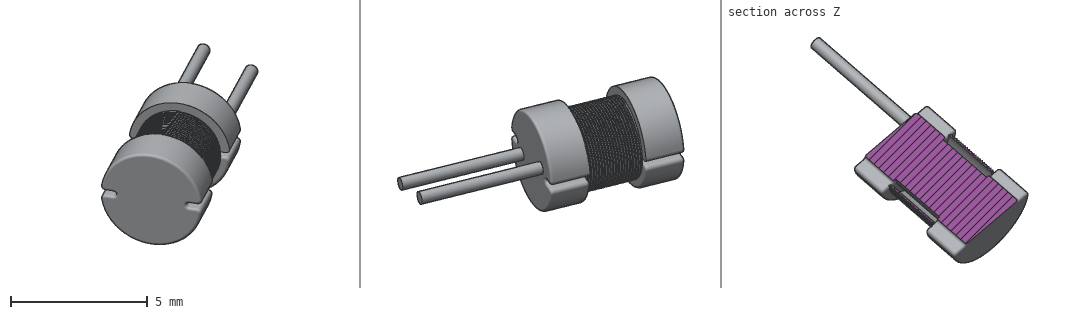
import cadquery as cq
import math

total_length = 10.09
flange_diameter = 3.84
flange_thickness = 1.53
core_radius = 1.21
edge_fillet = 0.1

notch_half_width = 0.11
notch_floor_radius = 1.33
notch_corner_fillet = 0.15

coil_turns = 20
coil_pitch = 0.11
coil_inner_radius = 1.48
coil_root_radius = 1.56
coil_crest_radius = 1.59
ridge_half_width = 0.054
ridge_overlap = 0.01

lead_radius = 0.24
lead_offset_x = 0.91
lead_offset_z = 0.29

flange_radius = flange_diameter / 2
coil_length = coil_turns * coil_pitch
front_inner_face = flange_thickness
back_inner_face = front_inner_face + coil_length
body_length = back_inner_face + flange_thickness
notch_arc_center = notch_floor_radius + notch_half_width
lead_length = total_length - body_length
oversize = 2 * flange_radius


def rod(radius, length, start, x=0.0, z=0.0):
    """Cylinder along +Y starting at y = start."""
    return cq.Workplane("XZ", origin=(x, start, z)).circle(radius).extrude(-length)


def block(width, height, z_bottom):
    """Block centred on the axis in X that spans more than a flange in Y."""
    box = cq.Workplane("XY").box(width, oversize, height, centered=(True, True, False))
    return box.translate((0, 0, z_bottom))


def notched_disc():
    """Disc with a round-bottomed notch on each side and rounded notch mouths."""
    disc = rod(flange_radius, flange_thickness, 0)
    slot_length = 2 * (flange_radius - notch_floor_radius)
    for side in (-1, 1):
        slot_center = side * (notch_floor_radius + slot_length / 2)
        slot = (
            cq.Workplane("XZ", origin=(slot_center, 0, 0))
            .slot2D(slot_length, 2 * notch_half_width)
            .extrude(-flange_thickness)
        )
        disc = disc.cut(slot)
    mouth_x = math.sqrt(flange_radius**2 - notch_half_width**2)
    for x in (-mouth_x, mouth_x):
        for z in (-notch_half_width, notch_half_width):
            mouth_edge = cq.selectors.NearestToPointSelector((x, flange_thickness / 2, z))
            disc = disc.edges("|Y").edges(mouth_edge).fillet(notch_corner_fillet)
    return disc


def flange():
    """Front flange: outer rim rounded all round, inner rim only below the notches."""
    sharp_inside = notched_disc().faces("<Y").edges().fillet(edge_fillet)
    rounded_inside = sharp_inside.faces(">Y").edges().fillet(edge_fillet)
    floor_zone = block(2 * notch_arc_center, 2 * notch_half_width, 0)
    sharp_zone = block(oversize, oversize, 0).cut(floor_zone)
    return rounded_inside.union(sharp_inside.intersect(sharp_zone))


def coil_sleeve():
    """Tube under the winding's ridges, standing clear of the core."""
    outside = rod(coil_root_radius, coil_length, front_inner_face)
    return outside.cut(rod(coil_inner_radius, coil_length, front_inner_face))


def coil_ridges():
    """Right-handed winding of end-to-end sharp-crested turns that starts and ends at the top."""
    base_radius = coil_root_radius - ridge_overlap
    helix = cq.Wire.makeHelix(coil_pitch, coil_pitch, base_radius)
    turn = (
        cq.Workplane("XZ")
        .moveTo(base_radius, -ridge_half_width)
        .lineTo(coil_crest_radius, 0)
        .lineTo(base_radius, ridge_half_width)
        .close()
        .sweep(cq.Workplane(helix), isFrenet=True)
    )
    turn = turn.rotate((0, 0, 0), (0, 0, 1), -90).rotate((0, 0, 0), (1, 0, 0), -90)
    turns = [turn.translate((0, front_inner_face + i * coil_pitch, 0)).val() for i in range(coil_turns)]
    return cq.Workplane("XY").newObject(turns)


front_flange = flange()
back_flange = front_flange.mirror("XZ").translate((0, body_length, 0))

result = rod(core_radius, coil_length, front_inner_face)
result = result.union(front_flange).union(back_flange)
result = result.union(coil_sleeve())
result = result.union(coil_ridges())
for side in (-1, 1):
    lead_x = side * lead_offset_x
    lead_z = -side * lead_offset_z
    lead = rod(lead_radius, lead_length, body_length, lead_x, lead_z)
    result = result.union(lead, clean=False)